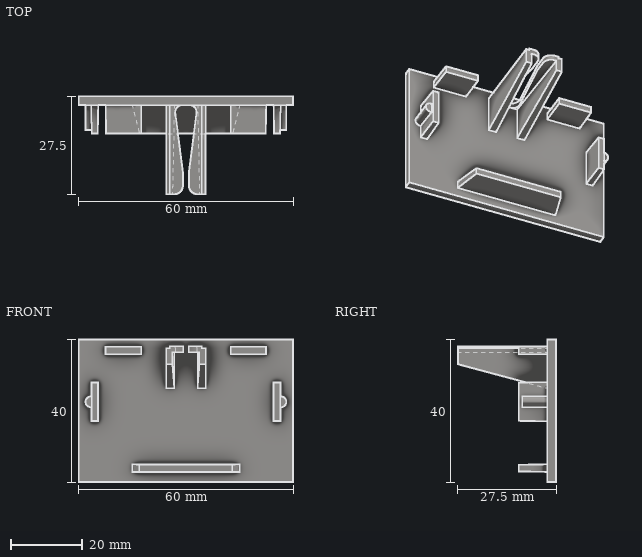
import cadquery as cq
import math

PLATE_WIDTH = 60.0
PLATE_HEIGHT = 40.0
PLATE_THICKNESS = 2.5

TAB_DEPTH = 8.0
DRAFT = TAB_DEPTH * math.tan(math.radians(1.0))

TOP_TAB_INNER_X = 12.5
TOP_TAB_OUTER_X = 22.5
TOP_TAB_TOP_Z = 17.85
TOP_TAB_THICKNESS = 2.0

SIDE_TAB_OUTER_X = 26.5
SIDE_TAB_THICKNESS = 2.0
SIDE_TAB_CENTER_Z = 2.5
SIDE_TAB_LENGTH = 11.0

BOTTOM_TAB_TOP_Z = -14.95
BOTTOM_TAB_THICKNESS = 2.2
BOTTOM_TAB_ROOT_LENGTH = 30.1
BOTTOM_TAB_TIP_LENGTH = 26.0

PIN_RADIUS = 1.5
PIN_CENTER_X = 26.6
PIN_LENGTH = 7.0

ARM_LENGTH = 25.0
ARM_OUTER_X = 5.5
ARM_TOP_Z = 18.0
ARM_TIP_BOTTOM_Z = 13.0
ARM_UNDERSIDE_ANGLE = 15.0
ARM_ROOT_BOTTOM_Z = ARM_TIP_BOTTOM_Z - ARM_LENGTH * math.tan(math.radians(ARM_UNDERSIDE_ANGLE))
WALL_ROOT_INNER_X = 3.25
WALL_TIP_INNER_X = 3.8

LIP_THICKNESS = 1.65
LIP_ROOT_INNER_X = 3.25
LIP_TIP_INNER_X = 0.8
LIP_TAPER_LENGTH = 18.8
LIP_TIP_RADIUS = 2.5
LIP_ROOT_RADIUS = 2.0

STEP_WIDTH = 1.0
STEP_HEIGHT = 0.5


def both_sides(body):
    """Return the body together with its mirror image across the YZ plane."""
    return body.union(body.mirror("YZ"))


def rectangle_wire(y, x_min, x_max, z_min, z_max):
    """Rectangle in the plane at the given Y."""
    corners = [(x_min, y, z_min), (x_max, y, z_min), (x_max, y, z_max), (x_min, y, z_max)]
    return cq.Wire.makePolygon([cq.Vector(*corner) for corner in corners], close=True)


def tapered_tab(root, tip):
    """Tab lofted from its root to its tip, each given as (x_min, x_max, z_min, z_max)."""
    wires = [rectangle_wire(0, *root), rectangle_wire(-TAB_DEPTH, *tip)]
    return cq.Workplane(cq.Solid.makeLoft(wires, True))


def plate():
    return cq.Workplane("XY").box(
        PLATE_WIDTH, PLATE_THICKNESS, PLATE_HEIGHT, centered=(True, False, True)
    )


def top_tabs():
    bottom_z = TOP_TAB_TOP_Z - TOP_TAB_THICKNESS
    root = (TOP_TAB_INNER_X, TOP_TAB_OUTER_X, bottom_z, TOP_TAB_TOP_Z)
    tip = (TOP_TAB_INNER_X, TOP_TAB_OUTER_X - DRAFT, bottom_z, TOP_TAB_TOP_Z)
    return both_sides(tapered_tab(root, tip))


def side_tabs():
    inner_x = SIDE_TAB_OUTER_X - SIDE_TAB_THICKNESS
    bottom_z = SIDE_TAB_CENTER_Z - SIDE_TAB_LENGTH / 2
    top_z = SIDE_TAB_CENTER_Z + SIDE_TAB_LENGTH / 2
    root = (inner_x, SIDE_TAB_OUTER_X, bottom_z, top_z)
    tip = (inner_x + DRAFT, SIDE_TAB_OUTER_X - DRAFT, bottom_z + DRAFT, top_z - DRAFT)
    return both_sides(tapered_tab(root, tip))


def detent_pins():
    """Half-round ribs running along the outer faces of the side tabs."""
    pin_inner_x = SIDE_TAB_OUTER_X - DRAFT
    pin = (
        cq.Workplane("XZ")
        .moveTo(pin_inner_x, SIDE_TAB_CENTER_Z - PIN_RADIUS)
        .lineTo(PIN_CENTER_X, SIDE_TAB_CENTER_Z - PIN_RADIUS)
        .threePointArc(
            (PIN_CENTER_X + PIN_RADIUS, SIDE_TAB_CENTER_Z),
            (PIN_CENTER_X, SIDE_TAB_CENTER_Z + PIN_RADIUS),
        )
        .lineTo(pin_inner_x, SIDE_TAB_CENTER_Z + PIN_RADIUS)
        .close()
        .extrude(PIN_LENGTH)
    )
    return both_sides(pin)


def bottom_tab():
    bottom_z = BOTTOM_TAB_TOP_Z - BOTTOM_TAB_THICKNESS
    root_x = BOTTOM_TAB_ROOT_LENGTH / 2
    tip_x = BOTTOM_TAB_TIP_LENGTH / 2
    root = (-root_x, root_x, bottom_z, BOTTOM_TAB_TOP_Z)
    tip = (-tip_x, tip_x, bottom_z + DRAFT, BOTTOM_TAB_TOP_Z - DRAFT)
    return tapered_tab(root, tip)


def arm_wall():
    """Outer wall of the arm at +X, thinning toward its tip."""
    return (
        cq.Workplane("XY")
        .workplane(offset=ARM_ROOT_BOTTOM_Z)
        .polyline(
            [
                (ARM_OUTER_X, 0),
                (WALL_ROOT_INNER_X, 0),
                (WALL_TIP_INNER_X, -ARM_LENGTH),
                (ARM_OUTER_X, -ARM_LENGTH),
            ]
        )
        .close()
        .extrude(ARM_TOP_Z - ARM_ROOT_BOTTOM_Z)
    )


def arm_lip():
    """Lip of the arm at +X: flared into the plate at its root and rounded at its tip."""
    slant = math.atan2(LIP_ROOT_INNER_X - LIP_TIP_INNER_X, LIP_TAPER_LENGTH)
    half_sweep = (math.pi / 2 + slant) / 2
    tangent_length = LIP_ROOT_RADIUS * math.tan(half_sweep)
    flare_start = (LIP_ROOT_INNER_X - tangent_length, 0)
    flare_end = (
        LIP_ROOT_INNER_X - tangent_length * math.sin(slant),
        -tangent_length * math.cos(slant),
    )
    flare_mid = (
        flare_start[0] + LIP_ROOT_RADIUS * math.sin(half_sweep),
        LIP_ROOT_RADIUS * (math.cos(half_sweep) - 1),
    )
    tip_arc_start = (LIP_TIP_INNER_X, LIP_TIP_RADIUS - ARM_LENGTH)
    tip_arc_end = (LIP_TIP_INNER_X + LIP_TIP_RADIUS, -ARM_LENGTH)
    tip_arc_mid = (
        tip_arc_end[0] - LIP_TIP_RADIUS * math.cos(math.pi / 4),
        tip_arc_start[1] - LIP_TIP_RADIUS * math.sin(math.pi / 4),
    )
    return (
        cq.Workplane("XY")
        .workplane(offset=ARM_TOP_Z - LIP_THICKNESS)
        .moveTo(ARM_OUTER_X, 0)
        .lineTo(*flare_start)
        .threePointArc(flare_mid, flare_end)
        .lineTo(LIP_TIP_INNER_X, -LIP_TAPER_LENGTH)
        .lineTo(*tip_arc_start)
        .threePointArc(tip_arc_mid, tip_arc_end)
        .lineTo(ARM_OUTER_X, -ARM_LENGTH)
        .close()
        .extrude(LIP_THICKNESS)
    )


def clip_arms():
    """Both arms with stepped outer top edges and sloping undersides."""
    side_outline = (
        cq.Workplane("YZ")
        .polyline(
            [
                (0, ARM_TOP_Z),
                (0, ARM_ROOT_BOTTOM_Z),
                (-ARM_LENGTH, ARM_TIP_BOTTOM_Z),
                (-ARM_LENGTH, ARM_TOP_Z),
            ]
        )
        .close()
        .extrude(ARM_OUTER_X)
    )
    step = cq.Workplane("XY").box(STEP_WIDTH, ARM_LENGTH, STEP_HEIGHT, centered=False)
    step = step.translate((ARM_OUTER_X - STEP_WIDTH, -ARM_LENGTH, ARM_TOP_Z - STEP_HEIGHT))
    return both_sides(arm_wall().union(arm_lip()).intersect(side_outline).cut(step))


result = (
    plate()
    .union(top_tabs())
    .union(side_tabs())
    .union(detent_pins())
    .union(bottom_tab())
    .union(clip_arms())
)